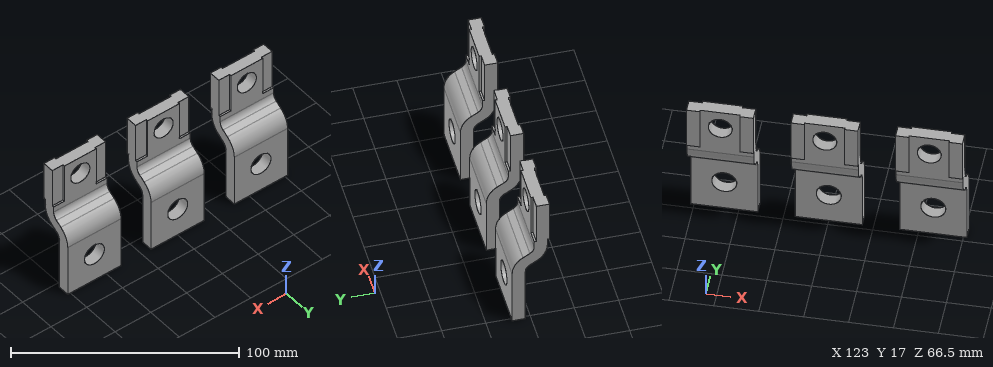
import cadquery as cq
import math

row_length = 123.0
link_count = 3
link_width = 29.9
link_height = 66.5
thickness = 6.0
pitch = (row_length - link_width) / (link_count - 1)

leg_offset = 10.0
bend_angle = 59.0
inner_radius = 4.0
outer_radius = inner_radius + thickness
lower_bend_height = 28.3

strip_width = 6.0
strip_height = 21.2
strip_shift = 1.0

upper_hole_diameter = 10.6
upper_hole_height = link_height - 9.5
lower_hole_diameter = 11.1
lower_hole_height = 15.5

turn = math.radians(bend_angle)
radius_sum = inner_radius + outer_radius
web_run = leg_offset - radius_sum * (1 - math.cos(turn))
web_rise = web_run / math.tan(turn)
upper_bend_height = lower_bend_height + radius_sum * math.sin(turn) + web_rise

lower_front = -thickness
upper_back = -leg_offset
upper_front = upper_back - thickness


def lower_bend_point(radius, angle):
    """Point (Y, Z) on the lower bend, at an angle turned from the lower leg."""
    center_y = lower_front - inner_radius
    return (center_y + radius * math.cos(angle), lower_bend_height + radius * math.sin(angle))


def upper_bend_point(radius, angle):
    """Point (Y, Z) on the upper bend, at an angle turned from the upper leg."""
    center_y = upper_back + inner_radius
    return (center_y - radius * math.cos(angle), upper_bend_height - radius * math.sin(angle))


def make_bent_strip():
    """Constant-thickness strip with two opposite bends, extruded along X."""
    half_turn = turn / 2
    return (
        cq.Workplane("YZ")
        .moveTo(0, 0)
        .lineTo(*lower_bend_point(outer_radius, 0))
        .threePointArc(lower_bend_point(outer_radius, half_turn), lower_bend_point(outer_radius, turn))
        .lineTo(*upper_bend_point(inner_radius, turn))
        .threePointArc(upper_bend_point(inner_radius, half_turn), upper_bend_point(inner_radius, 0))
        .lineTo(upper_back, link_height)
        .lineTo(upper_front, link_height)
        .lineTo(*upper_bend_point(outer_radius, 0))
        .threePointArc(upper_bend_point(outer_radius, half_turn), upper_bend_point(outer_radius, turn))
        .lineTo(*lower_bend_point(inner_radius, turn))
        .threePointArc(lower_bend_point(inner_radius, half_turn), lower_bend_point(inner_radius, 0))
        .lineTo(lower_front, 0)
        .close()
        .extrude(link_width / 2, both=True)
    )


def make_side_strips(back_y, depth):
    """Pair of blocks along the side edges of the upper leg, reaching forward from back_y."""
    block = cq.Workplane("XY").box(strip_width, depth, strip_height)
    center_x = (link_width - strip_width) / 2
    center_y = back_y - depth / 2
    center_z = link_height - strip_height / 2
    left_block = block.translate((-center_x, center_y, center_z))
    right_block = block.translate((center_x, center_y, center_z))
    return left_block.union(right_block)


def make_hole_cutter(diameter, height):
    """Cylinder along Y that passes through the whole depth of a link."""
    total_depth = leg_offset + thickness + strip_shift
    return cq.Workplane("XZ").center(0, height).circle(diameter / 2).extrude(total_depth)


def make_link():
    """One offset link, centred on X = 0."""
    link = make_bent_strip()
    link = link.cut(make_side_strips(upper_back, strip_shift))
    link = link.union(make_side_strips(upper_back - strip_shift, thickness))
    link = link.cut(make_hole_cutter(upper_hole_diameter, upper_hole_height))
    return link.cut(make_hole_cutter(lower_hole_diameter, lower_hole_height))


links = []
for index in range(link_count):
    link_x = (index - (link_count - 1) / 2) * pitch
    links.append(make_link().translate((link_x, 0, 0)).solids().val())

result = cq.Compound.makeCompound(links)